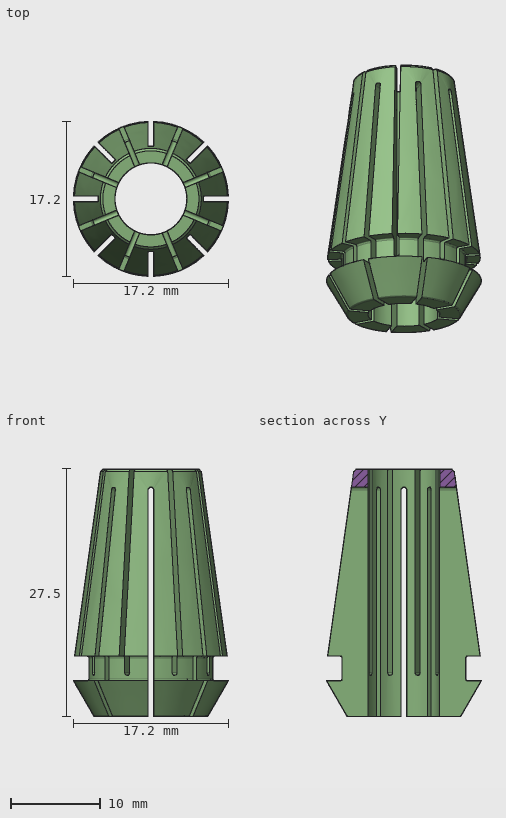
import cadquery as cq
import math

height = 27.5
bore_radius = 4.0

rim_diameter = 17.25
rim_radius = rim_diameter / 2
rim_height = 4.0
flange_angle = 30.0
flange_slope = math.radians(flange_angle)
bottom_radius = rim_radius - rim_height * math.tan(flange_slope)
bottom_fillet = 0.2
bottom_tangent = bottom_fillet * math.tan((math.pi / 2 - flange_slope) / 2)

groove_radius = 6.9
groove_top = 6.7
groove_fillet = 0.2

taper_base_radius = 8.5
taper_angle = 8.0
top_chamfer = 0.28
taper_top = height - top_chamfer
taper_top_radius = taper_base_radius - (taper_top - groove_top) * math.tan(math.radians(taper_angle))

slot_width = 0.6
slots_per_set = 8
slot_pitch = 360.0 / slots_per_set
lower_slot_end = 25.5
upper_slot_end = 4.6
slot_reach = rim_radius + slot_width
slot_overrun = slot_width


def collet_body():
    """Revolved wall between the bore and the stepped outside."""
    fillet_end = (
        bottom_radius + bottom_tangent * math.sin(flange_slope),
        bottom_tangent * math.cos(flange_slope),
    )
    profile = (
        cq.Workplane("XZ")
        .moveTo(bore_radius, 0)
        .lineTo(bottom_radius - bottom_tangent, 0)
        .radiusArc(fillet_end, -bottom_fillet)
        .lineTo(rim_radius, rim_height)
        .lineTo(groove_radius + groove_fillet, rim_height)
        .radiusArc((groove_radius, rim_height + groove_fillet), groove_fillet)
        .lineTo(groove_radius, groove_top - groove_fillet)
        .radiusArc((groove_radius + groove_fillet, groove_top), groove_fillet)
        .lineTo(taper_base_radius, groove_top)
        .lineTo(taper_top_radius, taper_top)
        .lineTo(taper_top_radius - top_chamfer, height)
        .lineTo(bore_radius, height)
        .close()
    )
    return profile.revolve(360, (0, 0, 0), (0, 1, 0))


def radial_slot(open_end, round_end, angle):
    """Cutter for one slot, from the axis outward, with its round end at height round_end."""
    radius = slot_width / 2
    arc_start = round_end - math.copysign(radius, round_end - open_end)
    return (
        cq.Workplane("YZ")
        .moveTo(-radius, open_end)
        .lineTo(-radius, arc_start)
        .threePointArc((0, round_end), (radius, arc_start))
        .lineTo(radius, open_end)
        .close()
        .extrude(slot_reach)
        .rotate((0, 0, 0), (0, 0, 1), angle)
    )


result = collet_body()
for index in range(slots_per_set):
    lower_angle = index * slot_pitch
    upper_angle = lower_angle + slot_pitch / 2
    result = result.cut(radial_slot(-slot_overrun, lower_slot_end, lower_angle))
    result = result.cut(radial_slot(height + slot_overrun, upper_slot_end, upper_angle))